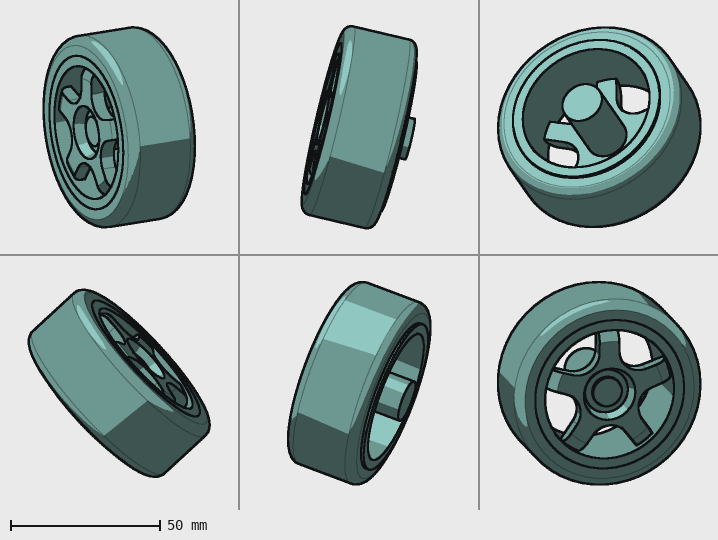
import cadquery as cq
import math

tire_radius = 32.5
tire_width = 25.0
tire_edge_round = 3.0
rim_radius = 26.0
rim_bore_radius = 22.5
rim_back_step = 1.0
barrel_radius = 7.0
barrel_overhang = 4.0

spoke_count = 5
window_inner_radius = 11.0
window_corner_radius = 7.15
spoke_taper = 1.2
shoulder_round = 4.0
spoke_thickness = 5.0

recess_mouth_radius = 9.0
recess_floor_radius = 7.5
recess_depth = 3.8
post_radius = 5.0
post_setback = 2.5

rim_width = tire_width + rim_back_step
spoke_pitch = 360 / spoke_count


def cylinder(radius, start, length):
    """Cylinder on the wheel axis, from Y = start toward +Y."""
    return cq.Workplane("XZ", origin=(0, start, 0)).circle(radius).extrude(-length)


def make_tire():
    tire = cylinder(tire_radius, 0, tire_width).edges().fillet(tire_edge_round)
    return tire.cut(cylinder(rim_radius, 0, tire_width))


def make_window():
    """Opening below the axis: a round inner end, flaring out to the rim bore."""
    arc_center = window_inner_radius + window_corner_radius
    side_angle = math.radians(spoke_pitch / 2 + spoke_taper)
    tangent_x = window_corner_radius * math.cos(side_angle)
    tangent_z = -arc_center + window_corner_radius * math.sin(side_angle)
    flare_z = -rim_radius
    flare_x = tangent_x + (tangent_z - flare_z) * math.tan(side_angle)
    return (
        cq.Workplane("XZ")
        .moveTo(-flare_x, flare_z)
        .lineTo(-tangent_x, tangent_z)
        .threePointArc((0, -window_inner_radius), (tangent_x, tangent_z))
        .lineTo(flare_x, flare_z)
        .close()
        .extrude(-spoke_thickness)
    )


def make_hub_recess():
    """Tapered recess that leaves a post standing on its floor."""
    recess = (
        cq.Workplane("XY")
        .polyline([(0, 0), (recess_mouth_radius, 0), (recess_floor_radius, recess_depth), (0, recess_depth)])
        .close()
        .revolve(360, (0, 0, 0), (0, 1, 0))
    )
    return recess.cut(cylinder(post_radius, post_setback, recess_depth - post_setback))


def make_spoke_disc():
    """Front disc with a rounded rim edge, cut into spokes by the windows."""
    disc = cylinder(rim_bore_radius, 0, spoke_thickness).faces("<Y").edges().fillet(shoulder_round)
    window = make_window()
    for index in range(spoke_count):
        disc = disc.cut(window.rotate((0, 0, 0), (0, 1, 0), index * spoke_pitch))
    return disc


def make_wheel():
    rim = cylinder(rim_radius, 0, rim_width).cut(cylinder(rim_bore_radius, 0, rim_width))
    barrel_length = rim_width + barrel_overhang
    barrel = cylinder(barrel_radius, 0, barrel_length)
    return make_spoke_disc().union(rim).union(barrel).cut(make_hub_recess())


tire = make_tire()
wheel = make_wheel()
result = cq.Compound.makeCompound([tire.val(), wheel.val()])